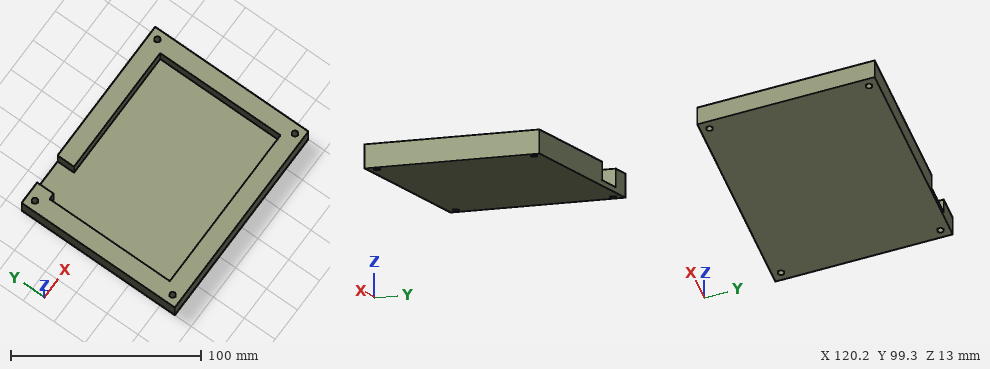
import cadquery as cq

length = 120.2
width = 99.3
height = 13.0

end_wall = 10.3
side_wall = 10.7
floor_thickness = 3.0
pocket_depth = height - floor_thickness

slot_start = 14.0
slot_width = 18.4

hole_diameter = 3.4
hole_inset = 5.0


def make_block():
    """Outer block with its lower -X, -Y corner at the origin."""
    return cq.Workplane("XY").box(length, width, height, centered=False)


def make_pocket():
    """Volume removed to form the tray."""
    return (
        cq.Workplane("XY")
        .box(length - 2 * end_wall, width - 2 * side_wall, pocket_depth, centered=False)
        .translate((end_wall, side_wall, floor_thickness))
    )


def make_slot():
    """Volume removed to open the pocket through the +Y wall."""
    return (
        cq.Workplane("XY")
        .box(slot_width, side_wall, pocket_depth, centered=False)
        .translate((slot_start, width - side_wall, floor_thickness))
    )


def make_corner_holes():
    """Four through holes, one in each corner."""
    return (
        cq.Workplane("XY")
        .center(length / 2, width / 2)
        .rect(length - 2 * hole_inset, width - 2 * hole_inset, forConstruction=True)
        .vertices()
        .circle(hole_diameter / 2)
        .extrude(height)
    )


result = make_block().cut(make_pocket()).cut(make_slot()).cut(make_corner_holes())